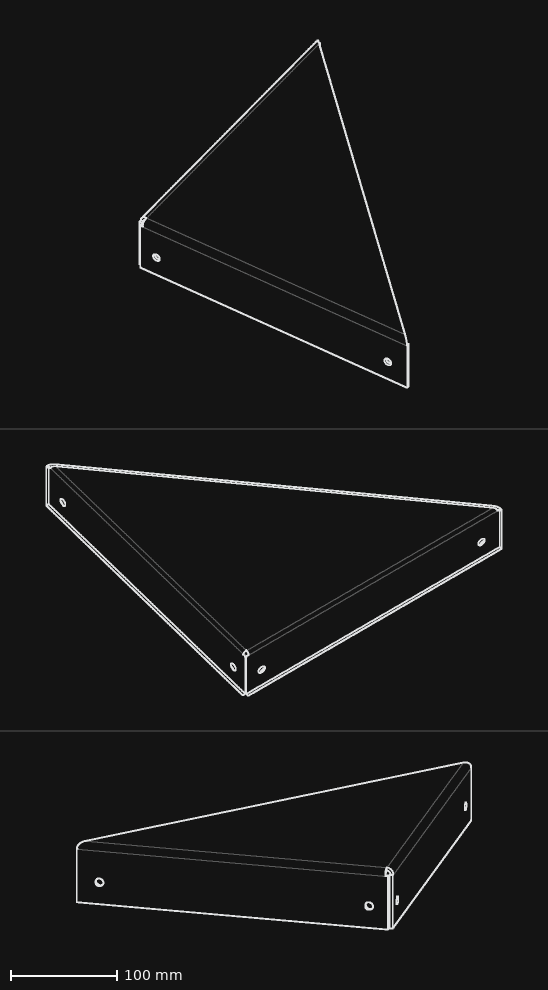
import cadquery as cq
import math

leg_length = 306.0
height = 60.0
thickness = 3.0
bend_radius = 6.5
flange_gap = 0.5
hole_diameter = 7.5
hole_inset = 22.0

flange_start = thickness + flange_gap
bend_bottom = height - bend_radius
inner_radius = bend_radius - thickness


def triangle_prism():
    """Full-height triangle bounded by the two outer faces and the diagonal."""
    return (
        cq.Workplane("XY")
        .polyline([(0, 0), (leg_length, 0), (0, leg_length)])
        .close()
        .extrude(height)
    )


def bend():
    """Quarter-round bend along X, starting where the top plate starts."""
    mid_outer = bend_radius * (1 - math.sqrt(0.5))
    mid_inner = bend_radius - inner_radius * math.sqrt(0.5)
    strip = (
        cq.Workplane("YZ", origin=(bend_radius, 0, 0))
        .moveTo(0, bend_bottom)
        .threePointArc((mid_outer, height - mid_outer), (bend_radius, height))
        .lineTo(bend_radius, height - thickness)
        .threePointArc((mid_inner, height - mid_inner), (thickness, bend_bottom))
        .close()
        .extrude(leg_length - bend_radius)
    )
    return strip.intersect(triangle_prism())


def flange():
    """Upright flange along X with a through hole near each end."""
    wall = cq.Workplane("XY").box(
        leg_length - flange_start, thickness, bend_bottom, centered=False
    ).translate((flange_start, 0, 0))
    holes = (
        cq.Workplane("XZ")
        .pushPoints([(hole_inset, hole_inset), (leg_length - hole_inset, hole_inset)])
        .circle(hole_diameter / 2)
        .extrude(-thickness)
    )
    return wall.cut(holes)


def top_plate():
    """Flat triangle between the two bends and the diagonal edge."""
    diagonal_end = leg_length - bend_radius
    return (
        cq.Workplane("XY", origin=(0, 0, height - thickness))
        .polyline([
            (bend_radius, bend_radius),
            (diagonal_end, bend_radius),
            (bend_radius, diagonal_end),
        ])
        .close()
        .extrude(thickness)
    )


folded_side = flange().union(bend())
mirrored_side = folded_side.rotate((0, 0, 0), (0, 0, 1), 90).mirror("YZ")

result = top_plate().union(folded_side).union(mirrored_side)